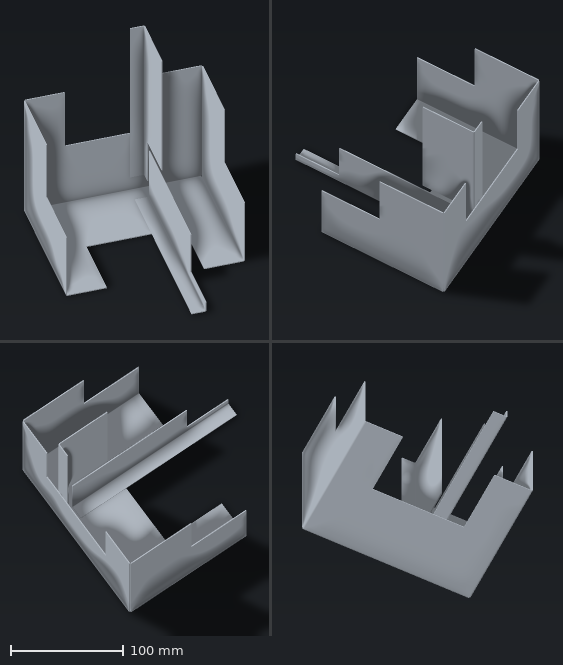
import cadquery as cq
import math

TOTAL_LENGTH = 186.0
TRAY_LENGTH = 126.9
TRAY_WIDTH = 167.0
SHEET = 1.0
BEND = 1.7
CORNER_GAP = 1.1
INNER_BEND = BEND - SHEET

ARM_WIDTH = 38.1
BASE_DEPTH = 65.7
STEP = 67.0

BRACKET_LENGTH = 169.8
FLANGE_WIDTH = 14.0
WEB_HEIGHT = 53.4
LOW_WEB_HEIGHT = 10.6
NOTCH_LENGTH = 45.0
BRACKET_BACK = 112.7


def box(x0, x1, y0, y1, z0, z1):
    """Box between the given limits."""
    size = (x1 - x0, y1 - y0, z1 - z0)
    return cq.Workplane("XY").box(*size, centered=False).translate((x0, y0, z0))


def bend(length):
    """Quarter-round bend along +X, joining a floor on +Y to a wall rising on +Z."""
    diagonal = math.sqrt(0.5)
    outer_mid = BEND - BEND * diagonal
    inner_mid = BEND - INNER_BEND * diagonal
    return (
        cq.Workplane("YZ")
        .moveTo(BEND, 0)
        .threePointArc((outer_mid, outer_mid), (0, BEND))
        .lineTo(SHEET, BEND)
        .threePointArc((inner_mid, inner_mid), (BEND, SHEET))
        .close()
        .extrude(length)
    )


def make_floor():
    """U-shaped floor, open towards +X."""
    floor = box(BEND, TRAY_LENGTH, BEND, TRAY_WIDTH - BEND, 0, SHEET)
    return floor.cut(box(BASE_DEPTH, TRAY_LENGTH, ARM_WIDTH, TRAY_WIDTH - ARM_WIDTH, 0, SHEET))


def make_side_wall():
    """L-shaped wall on the -Y side, with its bend to the floor."""
    wall = box(CORNER_GAP, TRAY_LENGTH, 0, SHEET, BEND, TRAY_LENGTH)
    wall = wall.cut(box(STEP, TRAY_LENGTH, 0, SHEET, STEP, TRAY_LENGTH))
    return wall.union(bend(TRAY_LENGTH - BEND).translate((BEND, 0, 0)))


def make_back_wall():
    """U-shaped wall on the -X side, with its bend to the floor."""
    width = TRAY_WIDTH - 2 * BEND
    wall = box(0, SHEET, CORNER_GAP, TRAY_WIDTH - CORNER_GAP, BEND, TRAY_LENGTH)
    wall = wall.cut(box(0, SHEET, ARM_WIDTH, TRAY_WIDTH - ARM_WIDTH, BASE_DEPTH, TRAY_LENGTH))
    wall_bend = bend(width).rotate((0, 0, 0), (0, 0, 1), -90)
    return wall.union(wall_bend.translate((0, TRAY_WIDTH - BEND, 0)))


def make_tray():
    """Bent sheet tray; its vertical corners stay open."""
    side = make_side_wall()
    far_side = side.mirror("XZ").translate((0, TRAY_WIDTH, 0))
    return make_floor().union(side).union(far_side).union(make_back_wall())


def make_bracket():
    """Angle along +X: flange towards -Y, web at Y = 0 rising on +Z, notched at its +X end."""
    web = box(0, BRACKET_LENGTH, -SHEET, 0, BEND, WEB_HEIGHT)
    notch_start = BRACKET_LENGTH - NOTCH_LENGTH
    web = web.cut(box(notch_start, BRACKET_LENGTH, -SHEET, 0, LOW_WEB_HEIGHT, WEB_HEIGHT))
    flange = box(0, BRACKET_LENGTH, -FLANGE_WIDTH, -BEND, 0, SHEET)
    return web.union(flange).union(bend(BRACKET_LENGTH).mirror("XZ"))


tray = make_tray()

floor_bracket = make_bracket().translate((TOTAL_LENGTH - BRACKET_LENGTH, BRACKET_BACK, SHEET))
wall_bracket = (
    make_bracket()
    .rotate((0, 0, 0), (0, 1, 0), 90)
    .translate((SHEET, BRACKET_BACK, TOTAL_LENGTH))
)

result = cq.Compound.makeCompound([tray.val(), floor_bracket.val(), wall_bracket.val()])